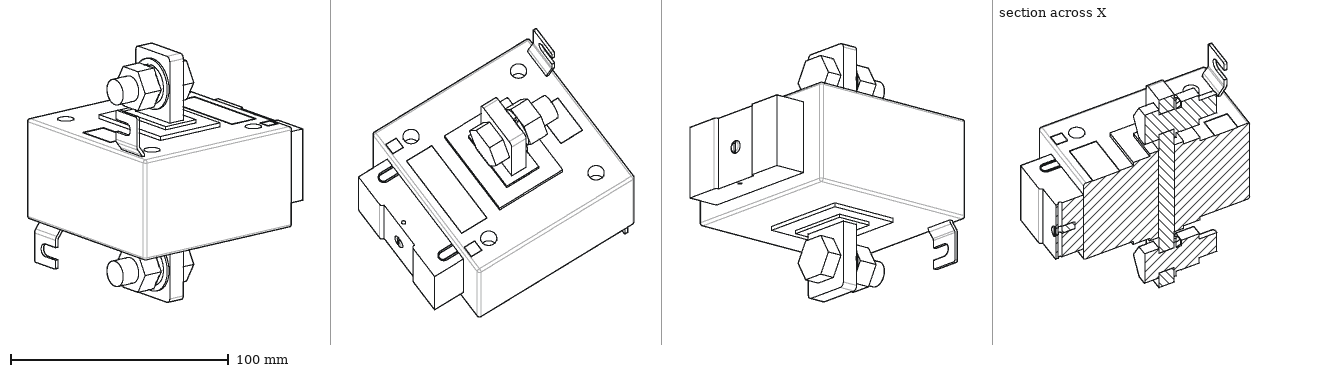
import cadquery as cq
import math


HOUSING_SIDE = 87.0
HOUSING_HEIGHT = 48.0
HOUSING_FILLET = 1.3
HALF_SIDE = HOUSING_SIDE / 2
HALF_HEIGHT = HOUSING_HEIGHT / 2

PAD_X, PAD_Y, PAD_RISE = 45.0, 35.0, 1.9
COLLAR_X, COLLAR_Y, COLLAR_RISE = 31.3, 17.8, 1.5
COLLAR_TOP = HALF_HEIGHT + PAD_RISE + COLLAR_RISE

HOLE_DIAMETER = 7.4
HOLE_DEPTH = 10.0
HOLE_PITCH_X, HOLE_PITCH_Y = 63.2, 59.7

LABEL_DEPTH = 0.3
RATING_LABEL_Y, RATING_LABEL_CENTRE_Y = 14.0, 31.6
PRIMARY_LABEL_X, PRIMARY_LABEL_Y, PRIMARY_LABEL_CENTRE_Y = 20.1, 12.0, -31.0
SECONDARY_LABEL_SIDE = 5.8
SECONDARY_LABEL_PITCH, SECONDARY_LABEL_CENTRE_Y = 64.0, 38.8

BUSBAR_LENGTH = 118.0
BUSBAR_WIDTH = 25.0
BUSBAR_THICKNESS = 8.0
BUSBAR_CORNER_RADIUS = 2.1

BOLT_Z = 43.5
BOLT_DIAMETER = 12.0
HEX_ACROSS_FLATS = 18.8
HEX_ACROSS_CORNERS = HEX_ACROSS_FLATS / math.cos(math.radians(30))
BOLT_HEAD_HEIGHT = 7.5
WASHER_DIAMETER, WASHER_THICKNESS = 24.0, 1.1
SPRING_DIAMETER, SPRING_THICKNESS = 18.4, 2.6
SPRING_GAP = 2.1
SPRING_GAP_SLANT = 1.0
NUT_HEIGHT = 9.4
BOLT_PROTRUSION = 9.1

FOOT_X_MIN = 22.1
FOOT_WIDTH = 15.5
FOOT_TIP_Z = 43.4
FOOT_THICKNESS = 1.5
FOOT_CRANK_ANGLE = 38.0
FOOT_INNER_RADIUS = 1.4
FOOT_CRANK_OFFSET = 3.1
FOOT_CORNER_RADIUS = 1.0
FOOT_SLOT_WIDTH = 6.0
FOOT_SLOT_LENGTH = 10.6
FOOT_SLOT_Z = 36.0

COVER_WIDTH = 62.1
COVER_DEPTH = 16.0
COVER_HEIGHT = 34.2
COVER_BACK_Y = HALF_SIDE + COVER_DEPTH
NOTCH_WIDTH = 24.8
NOTCH_DEPTH = 1.5
NOTCH_EDGE_RADIUS = 1.4
NOTCH_FLOOR_Y = COVER_BACK_Y - NOTCH_DEPTH
SEAL_HOLE_DIAMETER = 1.8
SEAL_HOLE_Y = NOTCH_FLOOR_Y - 2.4

ARCH_PITCH = 48.6
ARCH_OUTER_RADIUS, ARCH_INNER_RADIUS = 2.7, 1.9
ARCH_APEX_Y = HALF_SIDE + 9.1
ARCH_APEX_GAP = 0.4
ARCH_GROOVE_DEPTH = 0.4

SCREW_HEAD_DIAMETER, SCREW_HEAD_HEIGHT = 6.0, 0.7
SCREW_HEAD_FILLET = 0.6
SCREW_SLOT_WIDTH = 0.8
SCREW_SHANK_DIAMETER, SCREW_SHANK_LENGTH = 4.0, 10.0


def block(size_x, size_y, size_z, centre=(0, 0, 0)):
    return cq.Workplane("XY").box(size_x, size_y, size_z).translate(centre)


def cylinder_along_y(diameter, start_y, length):
    """Cylinder that starts at start_y and runs toward -Y."""
    return cq.Workplane("XZ", origin=(0, start_y, 0)).circle(diameter / 2).extrude(length)


def hexagon_along_y(start_y, length):
    """Hexagonal prism with corners at +X and -X, running from start_y toward -Y."""
    return cq.Workplane("XZ", origin=(0, start_y, 0)).polygon(6, HEX_ACROSS_CORNERS).extrude(length)


def turned_over(body):
    """The same body turned half a turn about the Y axis."""
    return body.rotate((0, 0, 0), (0, 1, 0), 180)


def label_recess(size_x, size_y, centre_x, centre_y):
    centre_z = HALF_HEIGHT - LABEL_DEPTH / 2
    return block(size_x, size_y, LABEL_DEPTH, (centre_x, centre_y, centre_z))


def make_housing():
    body = block(HOUSING_SIDE, HOUSING_SIDE, HOUSING_HEIGHT).edges().fillet(HOUSING_FILLET)
    body = body.union(block(PAD_X, PAD_Y, HOUSING_HEIGHT + 2 * PAD_RISE))
    body = body.union(block(COLLAR_X, COLLAR_Y, 2 * COLLAR_TOP))

    holes = (
        cq.Workplane("XY", origin=(0, 0, HALF_HEIGHT))
        .rarray(HOLE_PITCH_X, HOLE_PITCH_Y, 2, 2)
        .circle(HOLE_DIAMETER / 2)
        .extrude(-HOLE_DEPTH)
    )
    body = body.cut(holes)

    body = body.cut(label_recess(PAD_X, RATING_LABEL_Y, 0, RATING_LABEL_CENTRE_Y))
    body = body.cut(label_recess(PRIMARY_LABEL_X, PRIMARY_LABEL_Y, 0, PRIMARY_LABEL_CENTRE_Y))
    for side in (-1, 1):
        label_x = side * SECONDARY_LABEL_PITCH / 2
        label = label_recess(SECONDARY_LABEL_SIDE, SECONDARY_LABEL_SIDE, label_x, SECONDARY_LABEL_CENTRE_Y)
        body = body.cut(label)

    busbar_window = block(BUSBAR_WIDTH, BUSBAR_THICKNESS, BUSBAR_LENGTH)
    return body.cut(busbar_window)


def make_busbar():
    bar = block(BUSBAR_WIDTH, BUSBAR_THICKNESS, BUSBAR_LENGTH)
    bar = bar.edges("|Y").fillet(BUSBAR_CORNER_RADIUS)
    for bolt_z in (-BOLT_Z, BOLT_Z):
        bolt_hole = cylinder_along_y(BOLT_DIAMETER, BUSBAR_THICKNESS / 2, BUSBAR_THICKNESS)
        bar = bar.cut(bolt_hole.translate((0, 0, bolt_z)))
    return bar


def make_bolt(bolt_z):
    """Bolt with its flat washer, split spring washer and nut, all clamped into one body."""
    head_y = BUSBAR_THICKNESS / 2 + BOLT_HEAD_HEIGHT
    washer_y = -BUSBAR_THICKNESS / 2
    spring_y = washer_y - WASHER_THICKNESS
    nut_y = spring_y - SPRING_THICKNESS
    tip_y = nut_y - NUT_HEIGHT - BOLT_PROTRUSION

    spring_gap = (
        cq.Workplane("XY")
        .polyline([
            (-SPRING_GAP, spring_y),
            (0, spring_y),
            (SPRING_GAP_SLANT, nut_y),
            (SPRING_GAP_SLANT - SPRING_GAP, nut_y),
        ])
        .close()
        .extrude(SPRING_DIAMETER)
    )
    spring_washer = cylinder_along_y(SPRING_DIAMETER, spring_y, SPRING_THICKNESS).cut(spring_gap)

    bolt = cylinder_along_y(BOLT_DIAMETER, head_y, head_y - tip_y)
    bolt = bolt.union(hexagon_along_y(head_y, BOLT_HEAD_HEIGHT))
    bolt = bolt.union(cylinder_along_y(WASHER_DIAMETER, washer_y, WASHER_THICKNESS))
    bolt = bolt.union(spring_washer)
    bolt = bolt.union(hexagon_along_y(nut_y, NUT_HEIGHT))
    return bolt.translate((0, 0, bolt_z))


def make_foot():
    """Upper foot: it rises from the housing, cranks forward and ends flush with the front face."""
    angle = math.radians(FOOT_CRANK_ANGLE)
    half_angle = angle / 2
    inner = FOOT_INNER_RADIUS
    outer = inner + FOOT_THICKNESS
    front_y = -HALF_SIDE

    slope_length = (FOOT_CRANK_OFFSET - (inner + outer) * (1 - math.cos(angle))) / math.sin(angle)
    slope_z = slope_length * math.cos(angle)
    lower_bend_z = HALF_HEIGHT
    upper_bend_z = lower_bend_z + (inner + outer) * math.sin(angle) + slope_z
    lower_bend_y = front_y + FOOT_CRANK_OFFSET - inner
    upper_bend_y = front_y + outer

    def on_upper_bend(radius, turn):
        return upper_bend_y - radius * math.cos(turn), upper_bend_z - radius * math.sin(turn)

    def on_lower_bend(radius, turn):
        return lower_bend_y + radius * math.cos(turn), lower_bend_z + radius * math.sin(turn)

    strip = (
        cq.Workplane("YZ", origin=(FOOT_X_MIN, 0, 0))
        .moveTo(front_y, FOOT_TIP_Z)
        .lineTo(*on_upper_bend(outer, 0))
        .threePointArc(on_upper_bend(outer, half_angle), on_upper_bend(outer, angle))
        .lineTo(*on_lower_bend(inner, angle))
        .threePointArc(on_lower_bend(inner, half_angle), on_lower_bend(inner, 0))
        .lineTo(*on_lower_bend(outer, 0))
        .threePointArc(on_lower_bend(outer, half_angle), on_lower_bend(outer, angle))
        .lineTo(*on_upper_bend(inner, angle))
        .threePointArc(on_upper_bend(inner, half_angle), on_upper_bend(inner, 0))
        .lineTo(front_y + FOOT_THICKNESS, FOOT_TIP_Z)
        .close()
        .extrude(FOOT_WIDTH)
    )
    strip = strip.edges("|Y and >Z").fillet(FOOT_CORNER_RADIUS)

    slot_radius = FOOT_SLOT_WIDTH / 2
    slot_centre_x = FOOT_X_MIN + FOOT_SLOT_LENGTH - slot_radius
    slot = (
        cq.Workplane("XZ", origin=(0, front_y + FOOT_THICKNESS, FOOT_SLOT_Z))
        .moveTo(FOOT_X_MIN, slot_radius)
        .lineTo(slot_centre_x, slot_radius)
        .threePointArc((slot_centre_x + slot_radius, 0), (slot_centre_x, -slot_radius))
        .lineTo(FOOT_X_MIN, -slot_radius)
        .close()
        .extrude(FOOT_THICKNESS)
    )
    return strip.cut(slot)


def make_seal_hole():
    return (
        cq.Workplane("XY", origin=(0, SEAL_HOLE_Y, -COVER_HEIGHT / 2))
        .circle(SEAL_HOLE_DIAMETER / 2)
        .extrude(COVER_HEIGHT)
    )


def arch_prism(radius, apex_y):
    """Arch-shaped prism that stands on the housing side and ends in a half circle."""
    centre_y = apex_y - radius
    return (
        cq.Workplane("XY", origin=(0, 0, COVER_HEIGHT / 2))
        .moveTo(-radius, HALF_SIDE)
        .lineTo(-radius, centre_y)
        .threePointArc((0, apex_y), (radius, centre_y))
        .lineTo(radius, HALF_SIDE)
        .close()
        .extrude(-ARCH_GROOVE_DEPTH)
    )


def make_cover():
    cover = block(COVER_WIDTH, COVER_DEPTH, COVER_HEIGHT, (0, HALF_SIDE + COVER_DEPTH / 2, 0))
    notch = block(NOTCH_WIDTH, NOTCH_DEPTH, COVER_HEIGHT, (0, COVER_BACK_Y - NOTCH_DEPTH / 2, 0))
    cover = cover.cut(notch)
    notch_edges = cq.selectors.BoxSelector(
        (-NOTCH_WIDTH, COVER_BACK_Y - NOTCH_DEPTH / 2, -COVER_HEIGHT),
        (NOTCH_WIDTH, COVER_BACK_Y + NOTCH_DEPTH / 2, COVER_HEIGHT),
    )
    cover = cover.edges("|Z").edges(notch_edges).fillet(NOTCH_EDGE_RADIUS)

    arch_groove = arch_prism(ARCH_OUTER_RADIUS, ARCH_APEX_Y)
    arch_groove = arch_groove.cut(arch_prism(ARCH_INNER_RADIUS, ARCH_APEX_Y - ARCH_APEX_GAP))
    for side in (-1, 1):
        cover = cover.cut(arch_groove.translate((side * ARCH_PITCH / 2, 0, 0)))

    screw_hole = cylinder_along_y(SCREW_SHANK_DIAMETER, NOTCH_FLOOR_Y, SCREW_SHANK_LENGTH)
    return cover.cut(screw_hole).cut(make_seal_hole())


def make_cover_screw():
    """Slotted screw with a rounded head, cross-drilled in line with the seal hole of the cover."""
    head = cylinder_along_y(SCREW_HEAD_DIAMETER, NOTCH_FLOOR_Y + SCREW_HEAD_HEIGHT, SCREW_HEAD_HEIGHT)
    head = head.edges(">Y").fillet(SCREW_HEAD_FILLET)
    slot_centre = (0, NOTCH_FLOOR_Y + SCREW_HEAD_HEIGHT / 2, 0)
    head = head.cut(block(SCREW_SLOT_WIDTH, SCREW_HEAD_HEIGHT, SCREW_HEAD_DIAMETER, slot_centre))
    shank = cylinder_along_y(SCREW_SHANK_DIAMETER, NOTCH_FLOOR_Y, SCREW_SHANK_LENGTH)
    return shank.union(head).cut(make_seal_hole())


housing = make_housing()
busbar = make_busbar()
bolts = [make_bolt(bolt_z) for bolt_z in (-BOLT_Z, BOLT_Z)]
upper_foot = make_foot()
feet = [upper_foot, turned_over(upper_foot)]
cover = make_cover()
cover_screw = make_cover_screw()

result = cq.Compound.makeCompound([
    housing.val(),
    busbar.val(),
    *[bolt.val() for bolt in bolts],
    *[foot.val() for foot in feet],
    cover.val(),
    cover_screw.val(),
])